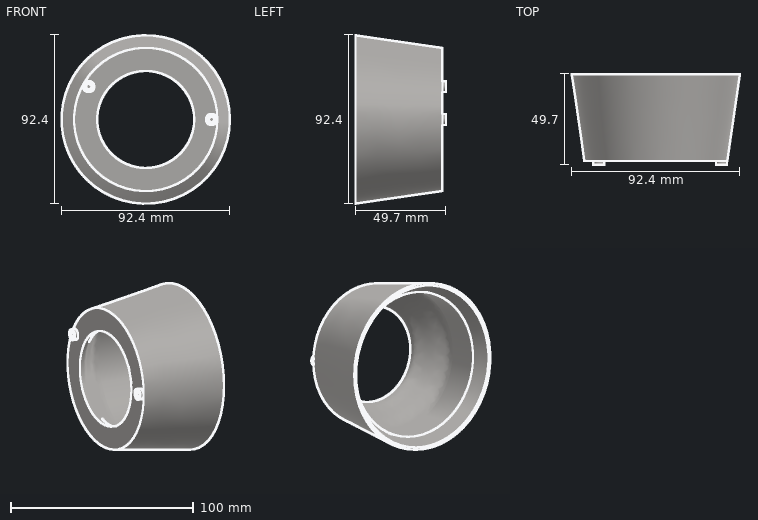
import cadquery as cq
import math

rear_radius = 46.2
front_radius = 39.25
total_length = 49.7
stud_height = 2.0
body_length = total_length - stud_height

mouth_radius = 26.5
lip_depth = 1.0
shoulder_points = ((34.9, 12.5), (29.4, 5.9))
wall_radius = 40.1
wall_start = 21.2
wall_end = 39.8
flare_radius = 44.8

stud_radius = 3.05
stud_angles = (0, 150)
stud_circle_radius = 36.0
countersink_radius = 2.4
ledge_radius = 1.9
ledge_depth = 0.5
socket_radius = 1.5
socket_depth = 2.8


def make_body():
    """Tapered ring turned about Y; an S-curve joins the lip to the wall, running along Y at both ends."""
    toward_front = (0, -1)
    profile = (
        cq.Workplane("XY")
        .moveTo(front_radius, 0)
        .lineTo(rear_radius, body_length)
        .lineTo(flare_radius, body_length)
        .lineTo(wall_radius, wall_end)
        .lineTo(wall_radius, wall_start)
        .spline(
            [*shoulder_points, (mouth_radius, lip_depth)],
            tangents=[toward_front, toward_front],
            includeCurrent=True,
        )
        .lineTo(mouth_radius, 0)
        .close()
    )
    return profile.revolve(360, (0, 0, 0), (0, 1, 0))


def make_stud():
    """Solid stud standing forward from y = 0, centred on the Y axis."""
    return cq.Workplane("XZ").circle(stud_radius).extrude(stud_height)


def make_socket():
    """Stepped cavity of a stud: a tapered mouth, a flat ledge and a blind hole."""
    return (
        cq.Workplane("XY")
        .moveTo(0, -stud_height)
        .lineTo(countersink_radius, -stud_height)
        .lineTo(ledge_radius, ledge_depth - stud_height)
        .lineTo(socket_radius, ledge_depth - stud_height)
        .lineTo(socket_radius, socket_depth - stud_height)
        .lineTo(0, socket_depth - stud_height)
        .close()
        .revolve(360, (0, 0, 0), (0, 1, 0))
    )


result = make_body()
for angle in stud_angles:
    stud_x = stud_circle_radius * math.cos(math.radians(angle))
    stud_z = stud_circle_radius * math.sin(math.radians(angle))
    stud_place = (stud_x, 0, stud_z)
    result = result.union(make_stud().translate(stud_place))
    result = result.cut(make_socket().translate(stud_place))